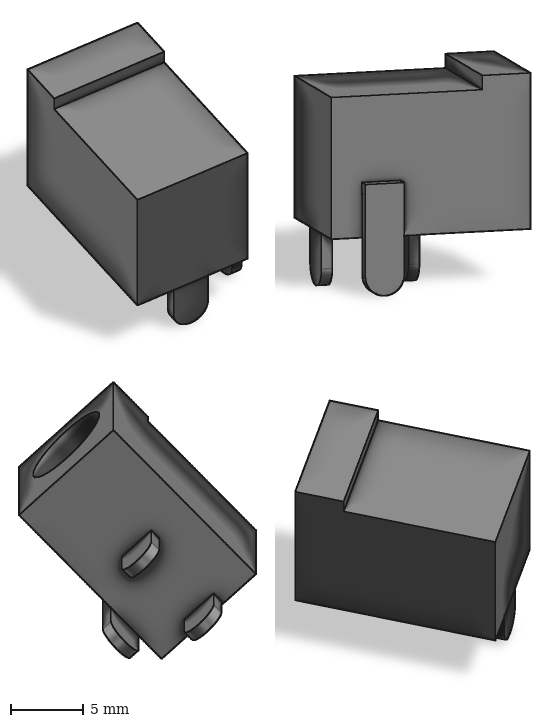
import cadquery as cq

body_length = 14.4
body_width = 9.0
total_height = 15.0
terminal_drop = 4.0
lip_length = 3.5
lip_height = 1.0

socket_diameter = 6.3
socket_depth = 9.0
socket_center_below_top = 4.6
contact_diameter = 2.0
contact_tip_recess = 1.2

terminal_width = 2.8
terminal_thickness = 0.8
middle_terminal_x = 7.5
rear_terminal_x = 13.8
side_terminal_x = 10.8
side_overhang = 0.9
side_strip_top = 7.9

body_top = total_height - lip_height
socket_center_z = total_height - socket_center_below_top
side_outer_y = body_width / 2 + side_overhang


def housing():
    """Block with a raised lip along the socket face."""
    return (
        cq.Workplane("XZ", origin=(0, body_width / 2, 0))
        .moveTo(0, terminal_drop)
        .lineTo(body_length, terminal_drop)
        .lineTo(body_length, body_top)
        .lineTo(lip_length, body_top)
        .lineTo(lip_length, total_height)
        .lineTo(0, total_height)
        .close()
        .extrude(body_width)
    )


def socket():
    """Blind round bore entering from the socket face."""
    return (
        cq.Workplane("YZ", origin=(0, 0, socket_center_z))
        .circle(socket_diameter / 2)
        .extrude(socket_depth)
    )


def center_contact():
    """Round pin with a hemispherical tip, standing on the socket floor."""
    radius = contact_diameter / 2
    dome_center_x = contact_tip_recess + radius
    origin = (dome_center_x, 0, socket_center_z)
    shaft_length = socket_depth - dome_center_x
    shaft = cq.Workplane("YZ", origin=origin).circle(radius).extrude(shaft_length + radius)
    dome = cq.Workplane("XY", origin=origin).sphere(radius)
    return shaft.union(dome)


def terminal_blade(plane, top_z):
    """Flat blade with a full-round lower end, centred on the local origin."""
    radius = terminal_width / 2
    return (
        cq.Workplane(plane)
        .moveTo(-radius, top_z)
        .lineTo(-radius, radius)
        .threePointArc((0, 0), (radius, radius))
        .lineTo(radius, top_z)
        .close()
        .extrude(terminal_thickness / 2, both=True)
    )


def side_terminal():
    """Strip running across the housing and bent down outside its +Y wall."""
    strip_length = side_outer_y + body_width / 2
    strip = cq.Workplane("XY").box(terminal_width, strip_length, terminal_thickness).translate(
        (side_terminal_x, side_overhang / 2, side_strip_top - terminal_thickness / 2)
    )
    blade = terminal_blade("XZ", side_strip_top).translate(
        (side_terminal_x, side_outer_y - terminal_thickness / 2, 0)
    )
    return strip.union(blade)


result = housing().cut(socket()).union(center_contact())
for terminal_x in (middle_terminal_x, rear_terminal_x):
    blade = terminal_blade("YZ", terminal_drop).translate((terminal_x, 0, 0))
    result = result.union(blade)
result = result.union(side_terminal())